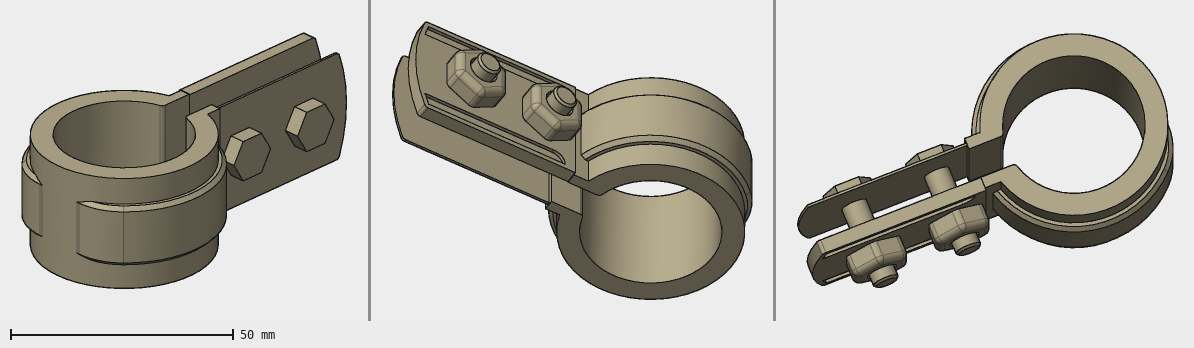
import cadquery as cq
import math

ring_height = 28.0
ring_radius = 21.15
bore_radius = 16.0
neck_end_y = 24.0
neck_half_width = 6.2
slot_half_width = 3.54
slot_corner_radius = 1.0

band_height = 15.0
band_radius = 23.01
band_chamfer = 1.0
band_end_y = -20.4

thick_plate_height = 27.6
thin_plate_height = 27.0
plate_end_radius = 38.0
plate_corner_radius = 1.0
thick_plate_thickness = 3.24
thick_plate_end_y = neck_end_y + 42.11
thin_plate_x = 4.6
thin_plate_thickness = 0.6
thin_plate_end_y = neck_end_y + 40.9

groove_margin = 1.3
groove_width = 2.95
groove_depth = 0.8
groove_start_y = 26.7

bolt_first_y = neck_end_y + 7.4
bolt_spacing = 20.0
bolt_count = 2
shank_diameter = 6.0
tip_diameter = 4.92
shank_overhang = 2.85
head_across_flats = 10.0
head_thickness = 3.9
nut_across_flats = 13.0
nut_thickness = 5.3
nut_bore_diameter = 7.0
nut_edge_radius = 1.7

thick_plate_inner_x = -slot_half_width
thick_plate_outer_x = thick_plate_inner_x - thick_plate_thickness
thin_plate_outer_x = thin_plate_x + thin_plate_thickness
nut_outer_x = thick_plate_outer_x - nut_thickness
shank_tip_x = nut_outer_x - shank_overhang
bolt_ys = [bolt_first_y + i * bolt_spacing for i in range(bolt_count)]


def on_circle(radius, degrees):
    angle = math.radians(degrees)
    return (radius * math.cos(angle), radius * math.sin(angle))


def make_band_side():
    """+X half of the band: a concentric side that runs at 45 degrees into a smaller arc ending flat."""
    cos45 = math.cos(math.radians(45))
    small_center = (band_radius + band_end_y) / (1 - cos45) * cos45
    small_radius = -band_end_y - small_center
    mid_x, mid_y = on_circle(small_radius, -67.5)
    top_y = math.sqrt(band_radius**2 - neck_half_width**2)
    return (
        cq.Workplane("XY")
        .workplane(offset=-band_height / 2)
        .moveTo(0, top_y)
        .lineTo(neck_half_width, top_y)
        .threePointArc((band_radius, 0), on_circle(band_radius, -45))
        .threePointArc((small_center + mid_x, mid_y - small_center), (small_center, band_end_y))
        .lineTo(0, band_end_y)
        .close()
        .extrude(band_height)
        .faces("<Z or >Z")
        .chamfer(band_chamfer)
    )


def make_clamp_ring():
    ring = cq.Workplane("XY").circle(ring_radius).extrude(ring_height / 2, both=True)
    neck = cq.Workplane("XY").box(
        2 * neck_half_width, neck_end_y, ring_height, centered=(True, False, True)
    )
    bore = cq.Workplane("XY").circle(bore_radius).extrude(ring_height / 2, both=True)
    slot = cq.Workplane("XY").box(
        2 * slot_half_width, neck_end_y, ring_height, centered=(True, False, True)
    )
    band_side = make_band_side()
    clamp = ring.union(neck).union(band_side).union(band_side.mirror("YZ")).cut(bore).cut(slot)
    slot_corner_y = math.sqrt(bore_radius**2 - slot_half_width**2)
    tolerance = 0.1
    corners = cq.selectors.BoxSelector(
        (-slot_half_width - tolerance, slot_corner_y - tolerance, -ring_height),
        (slot_half_width + tolerance, slot_corner_y + tolerance, ring_height),
    )
    return clamp.edges("|Z").edges(corners).fillet(slot_corner_radius)


def end_arc_y(end_y, z):
    """Y of the rounded plate end at height z."""
    return end_y - plate_end_radius + math.sqrt(plate_end_radius**2 - z**2)


def make_plate(start_x, thickness, height, end_y):
    half = height / 2
    corner_y = end_arc_y(end_y, half)
    plate = (
        cq.Workplane("YZ", origin=(start_x, 0, 0))
        .moveTo(neck_end_y, -half)
        .lineTo(corner_y, -half)
        .threePointArc((end_y, 0), (corner_y, half))
        .lineTo(neck_end_y, half)
        .close()
        .extrude(thickness)
        .edges("|X")
        .edges(">Y")
        .fillet(plate_corner_radius)
    )
    return plate.cut(x_cylinders(shank_diameter, start_x, start_x + thickness))


def x_cylinders(diameter, start_x, end_x):
    centers = [(y, 0) for y in bolt_ys]
    return (
        cq.Workplane("YZ", origin=(start_x, 0, 0))
        .pushPoints(centers)
        .circle(diameter / 2)
        .extrude(end_x - start_x)
    )


def make_groove():
    """Upper groove: quarter-round at the neck end, following the plate's rounded end at the other."""
    outer_z = thick_plate_height / 2 - groove_margin
    inner_z = outer_z - groove_width
    mid_z = (outer_z + inner_z) / 2
    far_y = thick_plate_end_y - groove_margin
    arc_center_y = groove_start_y + groove_width
    round_mid = on_circle(groove_width, 225)
    return (
        cq.Workplane("YZ", origin=(thick_plate_outer_x, 0, 0))
        .moveTo(groove_start_y, outer_z)
        .threePointArc((arc_center_y + round_mid[0], outer_z + round_mid[1]), (arc_center_y, inner_z))
        .lineTo(end_arc_y(far_y, inner_z), inner_z)
        .threePointArc((end_arc_y(far_y, mid_z), mid_z), (end_arc_y(far_y, outer_z), outer_z))
        .close()
        .extrude(groove_depth)
    )


def make_thick_plate():
    plate = make_plate(thick_plate_outer_x, thick_plate_thickness, thick_plate_height, thick_plate_end_y)
    groove = make_groove()
    return plate.cut(groove).cut(groove.mirror("XY"))


def hexagon(across_flats, start_x, thickness, y):
    """Hexagonal prism along X with two corners facing +Y and -Y."""
    across_corners = across_flats / math.cos(math.radians(30))
    return (
        cq.Workplane("YZ", origin=(start_x, y, 0))
        .polygon(6, across_corners)
        .extrude(thickness)
    )


def make_bolt(y):
    tip_chamfer = (shank_diameter - tip_diameter) / 2
    shank = (
        cq.Workplane("YZ", origin=(shank_tip_x, y, 0))
        .circle(shank_diameter / 2)
        .extrude(thin_plate_outer_x - shank_tip_x)
        .faces("<X")
        .chamfer(tip_chamfer)
    )
    return shank.union(hexagon(head_across_flats, thin_plate_outer_x, head_thickness, y))


def make_nut(y):
    """Rounded hexagon with two corners facing +Z and -Z."""
    body = (
        hexagon(nut_across_flats, nut_outer_x, nut_thickness, y)
        .rotate((0, y, 0), (1, y, 0), 90)
        .edges("|X or <X")
        .fillet(nut_edge_radius)
    )
    return body.cut(x_cylinders(nut_bore_diameter, nut_outer_x, thick_plate_outer_x))


clamp_ring = make_clamp_ring()
thick_plate = make_thick_plate()
thin_plate = make_plate(thin_plate_x, thin_plate_thickness, thin_plate_height, thin_plate_end_y)
bolts = [make_bolt(y) for y in bolt_ys]
nuts = [make_nut(y) for y in bolt_ys]

result = cq.Compound.makeCompound(
    [
        clamp_ring.val(),
        thick_plate.val(),
        thin_plate.val(),
        *[bolt.val() for bolt in bolts],
        *[nut.val() for nut in nuts],
    ]
)